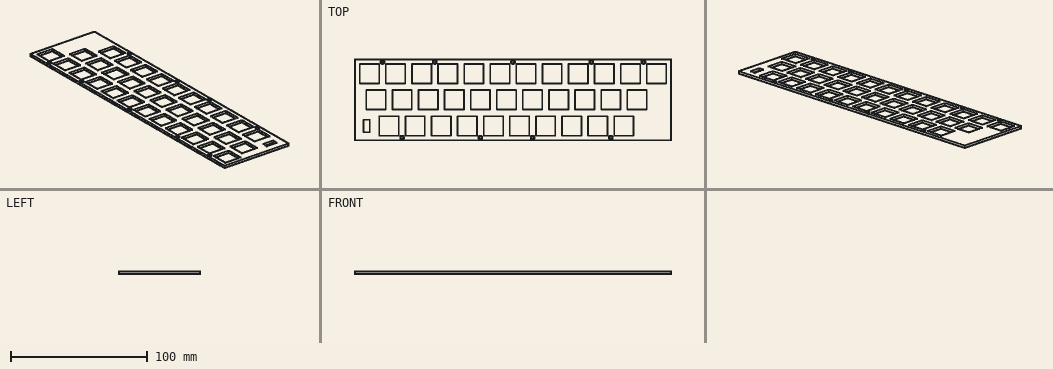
import cadquery as cq

KEY_PITCH = 19.05
KEY_OPENING = 14.0
ROWS = 3
COLUMNS = 12

BORDER = 1.05
PLATE_LENGTH = COLUMNS * KEY_PITCH + 2 * BORDER
PLATE_WIDTH = ROWS * KEY_PITCH + 2 * BORDER
PLATE_THICKNESS = 2.0
GRID_LEFT = -COLUMNS * KEY_PITCH / 2
GRID_TOP = ROWS * KEY_PITCH / 2

KEY_ROWS = [(0.0, 12), (0.25, 11), (0.75, 10)]

SCREW_DIAMETER = 2.0
COUNTERSINK_DIAMETER = 3.0
COUNTERSINK_ANGLE = 82.0
SCREW_EDGE_DISTANCE = 2.0
BACK_SCREWS = [1, 3, 6, 9, 11]
FRONT_SCREWS = [1.75, 4.75, 6.75, 9.75]

SLOT_LENGTH = 9.0
SLOT_WIDTH = 4.3
SLOT_FROM_LEFT_EDGE = 8.5


def grid_x(pitches):
    """X position at a number of key pitches from the left side of the grid."""
    return GRID_LEFT + pitches * KEY_PITCH


def row_y(row):
    """Y position of the middle of a key row, counted from the back."""
    return GRID_TOP - (row + 0.5) * KEY_PITCH


def make_plate():
    return cq.Workplane("XY").box(PLATE_LENGTH, PLATE_WIDTH, PLATE_THICKNESS, centered=(True, True, False))


def cut_key_openings(plate):
    centers = []
    for row, (stagger, key_count) in enumerate(KEY_ROWS):
        for key in range(key_count):
            centers.append((grid_x(stagger + key + 0.5), row_y(row)))
    openings = cq.Workplane("XY").pushPoints(centers).rect(KEY_OPENING, KEY_OPENING).extrude(PLATE_THICKNESS)
    return plate.cut(openings)


def cut_screw_holes(plate):
    """Countersunk through holes along the back and front edges, entered from the top face."""
    screw_y = PLATE_WIDTH / 2 - SCREW_EDGE_DISTANCE
    centers = [(grid_x(pitches), screw_y) for pitches in BACK_SCREWS]
    centers += [(grid_x(pitches), -screw_y) for pitches in FRONT_SCREWS]
    top_face = plate.copyWorkplane(cq.Workplane("XY", origin=(0, 0, PLATE_THICKNESS)))
    return top_face.pushPoints(centers).cskHole(SCREW_DIAMETER, COUNTERSINK_DIAMETER, COUNTERSINK_ANGLE)


def cut_slot(plate):
    slot_x = -PLATE_LENGTH / 2 + SLOT_FROM_LEFT_EDGE
    slot_y = row_y(ROWS - 1)
    slot = cq.Workplane("XY").center(slot_x, slot_y).rect(SLOT_WIDTH, SLOT_LENGTH).extrude(PLATE_THICKNESS)
    return plate.cut(slot)


result = cut_slot(cut_screw_holes(cut_key_openings(make_plate())))